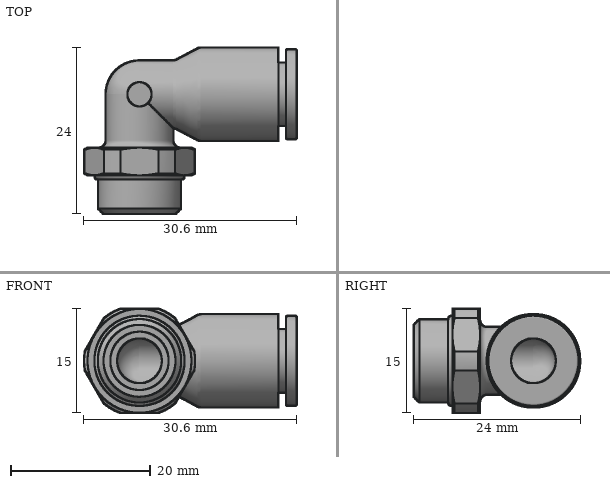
import cadquery as cq
import math


elbow_radius = 4.9
passage_radius = 3.2
mark_radius = 1.75
mark_depth = 0.35

cone_start = 5.08
cone_end = 8.57
sleeve_end = 19.95
collar_start = 21.02
tube_arm_end = 22.6
sleeve_radius = 6.73
neck_radius = 4.6
collar_radius = 6.5
cone_blend = 1.0
collar_rounding = 0.3

nut_start = 7.65
nut_end = 11.65
seat_end = 12.27
thread_arm_end = 17.23
nut_flats = 15.0
nut_corner_radius = 8.0
nut_chamfer_radial = 0.52
nut_chamfer_axial = 0.3
root_flare = 0.98
seat_radius = 6.5
thread_radius = 6.0
thread_chamfer = 0.83
mouth_radius = 4.2
mouth_depth = 5.5


def rod_x(radius, start, end):
    """Cylinder along +X between two positions."""
    return cq.Workplane("YZ").workplane(offset=start).circle(radius).extrude(end - start)


def rod_y(radius, start, end):
    """Cylinder along -Y between two distances from the origin."""
    return cq.Workplane("XZ").workplane(offset=start).circle(radius).extrude(end - start)


def revolve_about_y(profile):
    return profile.close().revolve(360, (0, 0, 0), (0, 1, 0))


def make_elbow():
    """Two equal cylinders mitred together, with a spherical outer corner."""
    corner = cq.Workplane("XY").sphere(elbow_radius)
    tube_side = rod_x(elbow_radius, 0, cone_start)
    thread_side = rod_y(elbow_radius, 0, nut_start)
    return corner.union(tube_side).union(thread_side)


def make_sleeve():
    """Socket for the tube: blended cone followed by a cylinder."""
    sleeve = (
        cq.Workplane("XY")
        .lineTo(0, elbow_radius)
        .lineTo(cone_start, elbow_radius)
        .lineTo(cone_end, sleeve_radius)
        .lineTo(sleeve_end, sleeve_radius)
        .lineTo(sleeve_end, 0)
        .close()
        .revolve(360, (0, 0, 0), (1, 0, 0))
    )
    cone_edges = cq.selectors.BoxSelector(
        (cone_start - 0.3, -sleeve_radius - 0.3, -sleeve_radius - 0.3),
        (cone_end + 0.3, sleeve_radius + 0.3, sleeve_radius + 0.3),
        boundingbox=True,
    )
    blended = sleeve.edges("%CIRCLE").edges(cone_edges).fillet(cone_blend)
    return blended.intersect(rod_x(2 * sleeve_radius, cone_start / 2, sleeve_end))


def make_release_collar():
    neck = rod_x(neck_radius, sleeve_end, collar_start)
    flange = rod_x(collar_radius, collar_start, tube_arm_end).edges().fillet(collar_rounding)
    return neck.union(flange)


def make_nut():
    """Hexagon with flats facing +Z and -Z, its corners turned and chamfered."""
    nut_height = nut_end - nut_start
    nut_corners = nut_flats / math.cos(math.radians(30))
    hexagon = (
        cq.Workplane("XZ")
        .workplane(offset=nut_start)
        .polygon(6, nut_corners)
        .extrude(nut_height)
    )
    face_radius = nut_corner_radius - nut_chamfer_radial
    turned = revolve_about_y(
        cq.Workplane("XY")
        .moveTo(0, -nut_start)
        .lineTo(face_radius, -nut_start)
        .lineTo(nut_corner_radius, -nut_start - nut_chamfer_axial)
        .lineTo(nut_corner_radius, -nut_end + nut_chamfer_axial)
        .lineTo(face_radius, -nut_end)
        .lineTo(0, -nut_end)
    )
    return hexagon.intersect(turned)


def make_root_flare():
    """Concave fillet between the elbow and the nut."""
    flare_radius = elbow_radius + root_flare
    bow = root_flare * (1 - 0.5 ** 0.5)
    return revolve_about_y(
        cq.Workplane("XY")
        .moveTo(0, -nut_start)
        .lineTo(flare_radius, -nut_start)
        .threePointArc(
            (elbow_radius + bow, -nut_start + bow),
            (elbow_radius, -nut_start + root_flare),
        )
        .lineTo(0, -nut_start + root_flare)
    )


def make_thread_end():
    """Plain thread cylinder with a rounded seat under the nut."""
    thread = rod_y(thread_radius, nut_end, thread_arm_end).faces("<Y").chamfer(thread_chamfer)
    seat_rounding = seat_radius - thread_radius
    seat = rod_y(seat_radius, nut_end, seat_end).faces("<Y").edges().fillet(seat_rounding)
    return thread.union(seat)


def make_passage():
    """Bent flow passage, wider at the threaded mouth."""
    corner = cq.Workplane("XY").sphere(passage_radius)
    tube_side = rod_x(passage_radius, 0, tube_arm_end)
    thread_side = rod_y(passage_radius, 0, thread_arm_end)
    mouth = rod_y(mouth_radius, thread_arm_end - mouth_depth, thread_arm_end)
    return corner.union(tube_side).union(thread_side).union(mouth)


def make_mark_recess():
    """Shallow round recess on top of the elbow."""
    floor = elbow_radius - mark_depth
    return cq.Workplane("XY").workplane(offset=floor).circle(mark_radius).extrude(2 * mark_depth)


result = (
    make_elbow()
    .union(make_sleeve())
    .union(make_release_collar())
    .union(make_nut())
    .union(make_root_flare())
    .union(make_thread_end())
    .cut(make_passage())
    .cut(make_mark_recess())
)